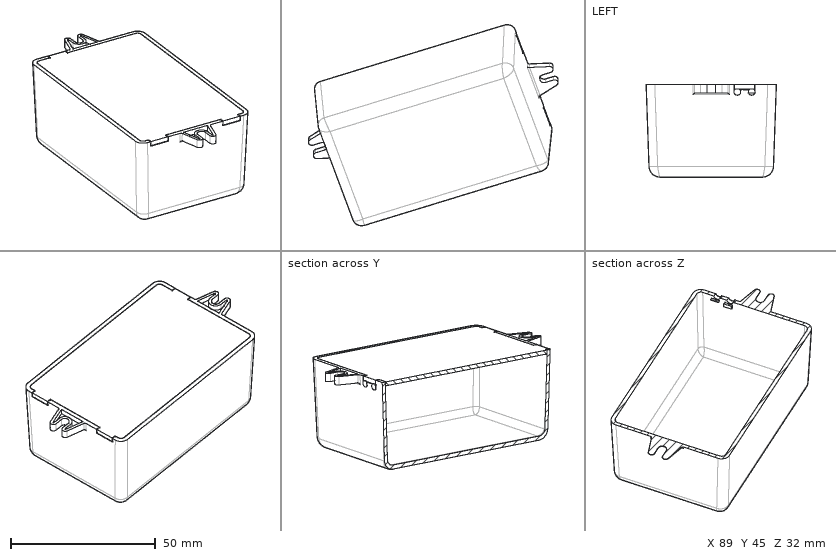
import cadquery as cq
import math

housing_length = 73.1
housing_width = 45.0
housing_height = 32.0
wall = 1.5
draft_angle = 2.0
corner_radius = 3.0
bottom_radius = 3.9

overall_length = 89.0
ear_height = 2.9
ear_pocket_depth = 2.0
end_face_setback = 0.1
ear_pocket_end = housing_length / 2 - end_face_setback
ear_rim = 1.0
ear_side_angle = 16.0
ear_root_fillet = 0.6
ear_root = housing_length / 2 - wall / 2
ear_root_reach = 7.1
selection_margin = 0.1
slot_radius = 1.5
slot_center = 40.4
prong_tip_radius = 1.2
prong_tip_x = overall_length / 2 - prong_tip_radius
prong_tip_y = slot_radius + prong_tip_radius

lid_gap = 0.1
tab_gap = 0.2
lid_thickness = 1.6
notch_width = 7.2
notch_depth = lid_thickness + tab_gap
tab_end = housing_length / 2 - end_face_setback
input_y = -11.5
output_y = 14.6
notch_start = housing_length / 2 - 2 * wall
notches = [(-1, input_y), (1, output_y), (1, -output_y)]

wire_hole_radius = 1.2
wire_hole_spacing = 5.0
wire_hole_z = -2.6
stop_thickness = 1.0
stop_width = 3.0
stop_setback = 1.1
long_stop_depth = 4.1
short_stop_depth = 2.9
upper_wire_y = input_y + wire_hole_spacing / 2
lower_wire_y = input_y - wire_hole_spacing / 2


def drafted_block(inset, height):
    """Rounded block below Z = 0, inset from the outer walls, narrowing downward."""
    return (
        cq.Workplane("XY")
        .rect(housing_length - 2 * inset, housing_width - 2 * inset)
        .extrude(-height, taper=draft_angle)
        .edges("not(#Z)")
        .fillet(corner_radius - inset)
        .faces("<Z")
        .edges()
        .fillet(bottom_radius - inset)
    )


def ear_outline(inset, root_x):
    """Forked outline of the +X ear, moved inward by inset and closed at root_x."""
    tip_radius = prong_tip_radius - inset
    slot_arc = slot_radius + inset
    angle = math.radians(ear_side_angle)
    tangent_x = prong_tip_x + tip_radius * math.sin(angle)
    tangent_y = prong_tip_y + tip_radius * math.cos(angle)
    root_y = tangent_y + (tangent_x - root_x) * math.tan(angle)
    tip_end = prong_tip_x + tip_radius
    return (
        cq.Workplane("XY")
        .moveTo(root_x, -root_y)
        .lineTo(tangent_x, -tangent_y)
        .threePointArc((tip_end, -prong_tip_y), (prong_tip_x, -slot_arc))
        .lineTo(slot_center, -slot_arc)
        .threePointArc((slot_center - slot_arc, 0), (slot_center, slot_arc))
        .lineTo(prong_tip_x, slot_arc)
        .threePointArc((tip_end, prong_tip_y), (tangent_x, tangent_y))
        .lineTo(root_x, root_y)
        .close()
    )


def box(x_min, x_max, y_center, y_size, depth):
    """Box from Z = 0 down to depth."""
    return (
        cq.Workplane("XY")
        .center((x_min + x_max) / 2, y_center)
        .rect(abs(x_max - x_min), y_size)
        .extrude(-depth)
    )


def make_housing():
    body = drafted_block(0, housing_height)
    ear = ear_outline(0, ear_root).extrude(-ear_height)
    pocket = ear_outline(ear_rim, ear_pocket_end).extrude(-ear_pocket_depth)
    for turn in (0, 180):
        body = body.union(ear.rotate((0, 0, 0), (0, 0, 1), turn))

    for side in (-1, 1):
        root_region = cq.selectors.BoxSelector(
            (side * ear_root, -ear_root_reach, -ear_height - selection_margin),
            (side * (housing_length / 2 + selection_margin), ear_root_reach, -selection_margin),
        )
        body = body.edges(root_region).fillet(ear_root_fillet)

    for turn in (0, 180):
        body = body.cut(pocket.rotate((0, 0, 0), (0, 0, 1), turn))
    body = body.cut(drafted_block(wall, housing_height - wall))

    for side, y in notches:
        notch = box(side * notch_start, side * overall_length / 2, y, notch_width, notch_depth)
        body = body.cut(notch)
    for y in (upper_wire_y, lower_wire_y):
        hole = (
            cq.Workplane("YZ", origin=(-housing_length / 2, y, wire_hole_z))
            .circle(wire_hole_radius)
            .extrude(2 * wall)
        )
        body = body.cut(hole)
    return body


def make_lid():
    inset = wall + lid_gap
    lid_length = housing_length - 2 * inset
    lid = (
        cq.Workplane("XY")
        .rect(lid_length, housing_width - 2 * inset)
        .extrude(-lid_thickness)
        .edges("|Z")
        .fillet(corner_radius - inset)
    )
    for side, y in notches:
        tab = box(side * notch_start, side * tab_end, y, notch_width - 2 * tab_gap, lid_thickness)
        lid = lid.union(tab)
    stop_x = -lid_length / 2 + stop_setback
    for y, depth in ((upper_wire_y, long_stop_depth), (lower_wire_y, short_stop_depth)):
        lid = lid.union(box(stop_x, stop_x + stop_thickness, y, stop_width, depth))
    return lid


housing = make_housing()
lid = make_lid()

result = cq.Compound.makeCompound([housing.solids().val(), lid.solids().val()])